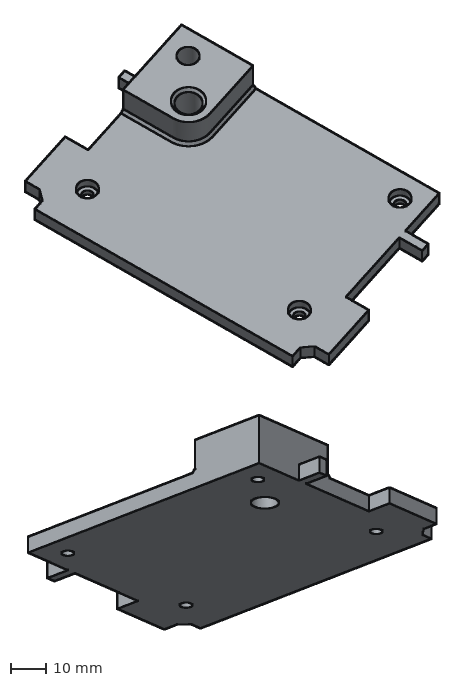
import cadquery as cq

plate_width = 90.0
plate_length = 71.5
plate_thickness = 5.0
half_plate = plate_width / 2

lug_reach = 8.0
half_overall = half_plate + lug_reach
ear_front = 6.5
ear_length = 19.5
ear_back = ear_front + ear_length
arm_front = 52.0
arm_width = 3.0
arm_back = arm_front + arm_width

web_reach = 3.0
web_drop = 2.7

block_width = 25.0
block_length = 28.5
block_top = 15.0
block_corner_radius = 7.5
foot_size = 1.0
block_right = -half_plate + block_width
block_front = plate_length - block_length

pin_hole_diameter = 8.0
pin_hole_chamfer = 1.0
pin_hole_x = block_right - block_corner_radius
pin_hole_y = block_front + block_corner_radius

screw_inset = 8.0
screw_front = 14.5
screw_spacing_y = 49.0
screw_diameter = 3.6
screw_head_diameter = 6.5
screw_floor = 2.0


def make_plate():
    """Plate with ears, arms and sloped webs, mirrored about X = 0."""
    right_side = [
        (half_plate, 0),
        (half_plate, ear_front - web_drop),
        (half_plate + web_reach, ear_front),
        (half_overall, ear_front),
        (half_overall, ear_back),
        (half_plate, ear_back),
        (half_plate, arm_front),
        (half_overall, arm_front),
        (half_overall, arm_back),
        (half_plate, arm_back),
        (half_plate, plate_length),
    ]
    left_side = [(-x, y) for x, y in reversed(right_side)]
    return cq.Workplane("XY").polyline(right_side + left_side).close().extrude(plate_thickness)


def block_outline(base_z, margin):
    """Block footprint at height base_z, grown by margin on its two inner sides."""
    right = block_right + margin
    front = block_front - margin
    return (
        cq.Workplane("XY", origin=(0, 0, base_z))
        .moveTo(-half_plate, plate_length)
        .lineTo(-half_plate, front)
        .lineTo(pin_hole_x, front)
        .radiusArc((right, pin_hole_y), -(block_corner_radius + margin))
        .lineTo(right, plate_length)
        .close()
    )


def make_block():
    """Upright block, run down through the plate thickness to Z = 0."""
    return block_outline(0, 0).extrude(block_top)


def make_foot():
    """Sloped collar where the block meets the plate."""
    wide = block_outline(plate_thickness, foot_size).wires().val()
    narrow = block_outline(plate_thickness + foot_size, 0).wires().val()
    return cq.Workplane(cq.Solid.makeLoft([wide, narrow], True))


def make_pin_hole():
    """Cutter for the large hole and its chamfered mouth."""
    radius = pin_hole_diameter / 2
    mouth_radius = radius + pin_hole_chamfer
    shaft = cq.Workplane("XY").circle(radius).extrude(block_top)
    mouth = cq.Workplane(
        cq.Solid.makeCone(
            radius, mouth_radius, pin_hole_chamfer, cq.Vector(0, 0, block_top - pin_hole_chamfer)
        )
    )
    return shaft.union(mouth).translate((pin_hole_x, pin_hole_y, 0))


def make_screw_holes():
    """Cutter for four through holes whose head pockets share one floor height."""
    screw_x = half_plate - screw_inset
    screw_back = screw_front + screw_spacing_y
    centres = [(x, y) for x in (-screw_x, screw_x) for y in (screw_front, screw_back)]
    shafts = cq.Workplane("XY").pushPoints(centres).circle(screw_diameter / 2).extrude(block_top)
    heads = (
        cq.Workplane("XY", origin=(0, 0, screw_floor))
        .pushPoints(centres)
        .circle(screw_head_diameter / 2)
        .extrude(block_top - screw_floor)
    )
    return shafts.union(heads)


body = make_plate().union(make_block()).union(make_foot())
result = body.cut(make_pin_hole()).cut(make_screw_holes())